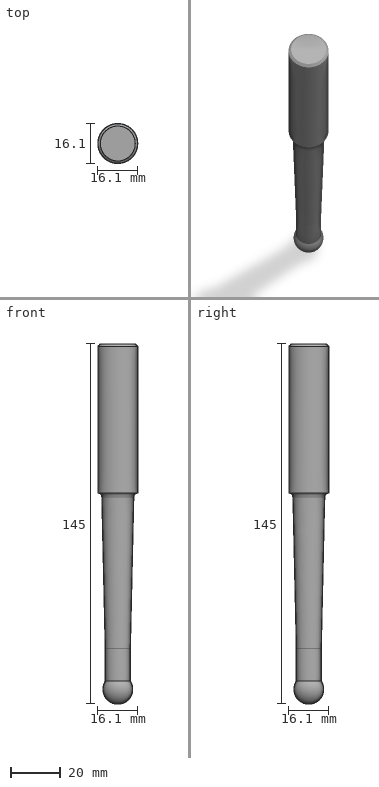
import cadquery as cq
import math

total_length = 145.0

shank_diameter = 16.1
shank_radius = shank_diameter / 2
shank_length = 60.0
shank_chamfer = 1.0
shank_bottom_z = total_length - shank_length

neck_top_diameter = 12.9
neck_top_radius = neck_top_diameter / 2
round_radius = shank_radius - neck_top_radius
neck_top_z = shank_bottom_z - round_radius

stem_diameter = 10.2
stem_radius = stem_diameter / 2
stem_top_z = 22.5

ball_diameter = 12.0
ball_radius = ball_diameter / 2
ball_center_z = ball_radius


def make_ball():
    """Full sphere at the lower end."""
    return cq.Workplane("XY").sphere(ball_radius).translate((0, 0, ball_center_z))


def make_stylus(ball):
    """Shank, neck and stem revolved about Z, with a spherical seat for the ball."""
    round_offset = round_radius * math.sqrt(0.5)
    round_middle = (shank_radius - round_offset, neck_top_z + round_offset)
    body = (
        cq.Workplane("XZ")
        .moveTo(0, ball_center_z)
        .lineTo(stem_radius, ball_center_z)
        .lineTo(stem_radius, stem_top_z)
        .lineTo(neck_top_radius, neck_top_z)
        .threePointArc(round_middle, (shank_radius, shank_bottom_z))
        .lineTo(shank_radius, total_length)
        .lineTo(0, total_length)
        .close()
        .revolve(360, (0, 0, 0), (0, 1, 0))
        .faces(">Z")
        .chamfer(shank_chamfer)
    )
    return body.cut(ball).solids()


ball = make_ball()
stylus = make_stylus(ball)

result = cq.Compound.makeCompound([stylus.val(), ball.val()])